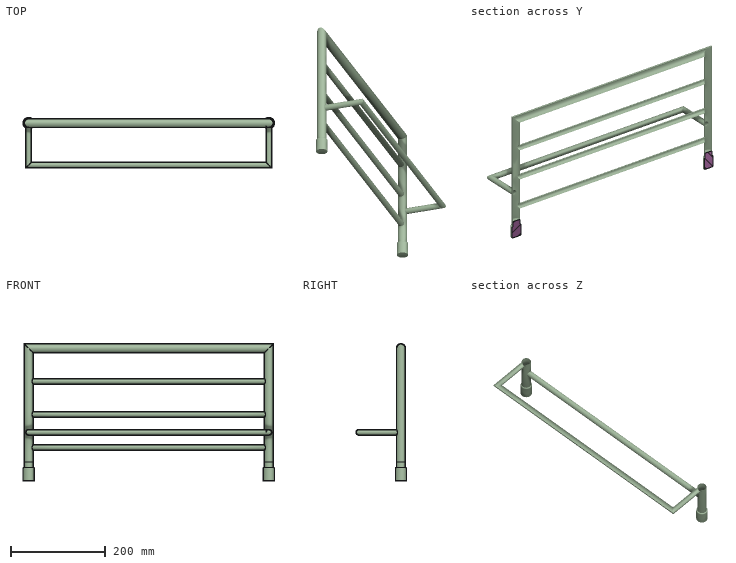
import cadquery as cq
OVERALL_WIDTH = 532.0
OVERALL_DEPTH = 107.25
OVERALL_HEIGHT = 290.46

TUBE_DIAMETER = 19.5
ROD_DIAMETER = 12.5
WALL = 1.0
RUNG_SPACING = 70.0
RUNG_COUNT = 3
SHELF_HEIGHT = 102.8

COLLAR_DIAMETER = 24.0
COLLAR_HEIGHT = 28.5
PLUG_LENGTH = 11.5

TUBE_RADIUS = TUBE_DIAMETER / 2
ROD_RADIUS = ROD_DIAMETER / 2
COLLAR_RADIUS = COLLAR_DIAMETER / 2
COLLAR_ROUNDING = COLLAR_RADIUS - TUBE_RADIUS
PLUG_RADIUS = TUBE_RADIUS - WALL
UPRIGHT_X = OVERALL_WIDTH / 2 - COLLAR_RADIUS
TOP_BAR_Z = OVERALL_HEIGHT - TUBE_RADIUS
SHELF_Y = COLLAR_RADIUS + ROD_RADIUS - OVERALL_DEPTH


def mitred_bar(points, direction, radius):
    """Round bar along a polyline with mitred corners, starting off along direction."""
    path = cq.Workplane(cq.Wire.makePolygon([cq.Vector(*point) for point in points]))
    start = cq.Plane(points[0], xDir=(1, 0, 0), normal=direction)
    return cq.Workplane(start).circle(radius).sweep(path, transition="right")


def hoop_bar(radius):
    """Two uprights joined by the top bar."""
    points = [
        (-UPRIGHT_X, 0, COLLAR_HEIGHT),
        (-UPRIGHT_X, 0, TOP_BAR_Z),
        (UPRIGHT_X, 0, TOP_BAR_Z),
        (UPRIGHT_X, 0, COLLAR_HEIGHT),
    ]
    return mitred_bar(points, (0, 0, 1), radius)


def shelf_bar(radius):
    """Horizontal rail standing out in front of the uprights on two arms."""
    points = [
        (-UPRIGHT_X, 0, SHELF_HEIGHT),
        (-UPRIGHT_X, SHELF_Y, SHELF_HEIGHT),
        (UPRIGHT_X, SHELF_Y, SHELF_HEIGHT),
        (UPRIGHT_X, 0, SHELF_HEIGHT),
    ]
    return mitred_bar(points, (0, -1, 0), radius)


def rung_bar(z, radius):
    """Straight bar between the upright axes."""
    return cq.Workplane("YZ", origin=(-UPRIGHT_X, 0, z)).circle(radius).extrude(2 * UPRIGHT_X)


def frame_bars(tube_radius, rod_radius):
    """All the bars of the frame, fused."""
    bars = hoop_bar(tube_radius).union(shelf_bar(rod_radius))
    for number in range(1, RUNG_COUNT + 1):
        bars = bars.union(rung_bar(TOP_BAR_Z - number * RUNG_SPACING, rod_radius))
    return bars


def make_frame():
    """Hollow pipework whose bores run into one another."""
    outside = frame_bars(TUBE_RADIUS, ROD_RADIUS)
    bores = frame_bars(TUBE_RADIUS - WALL, ROD_RADIUS - WALL)
    return outside.cut(bores)


def make_foot(x):
    """Collar rounded over to meet the upright, with a plug that fills the end of its bore."""
    collar = cq.Workplane("XY").circle(COLLAR_RADIUS).extrude(COLLAR_HEIGHT)
    collar = collar.edges(">Z").fillet(COLLAR_ROUNDING)
    plug = cq.Workplane("XY").circle(PLUG_RADIUS).extrude(COLLAR_HEIGHT + PLUG_LENGTH)
    return collar.union(plug).translate((x, 0, 0))


frame = make_frame()
feet = [make_foot(x) for x in (-UPRIGHT_X, UPRIGHT_X)]

result = cq.Compound.makeCompound([frame.val(), *[foot.val() for foot in feet]])